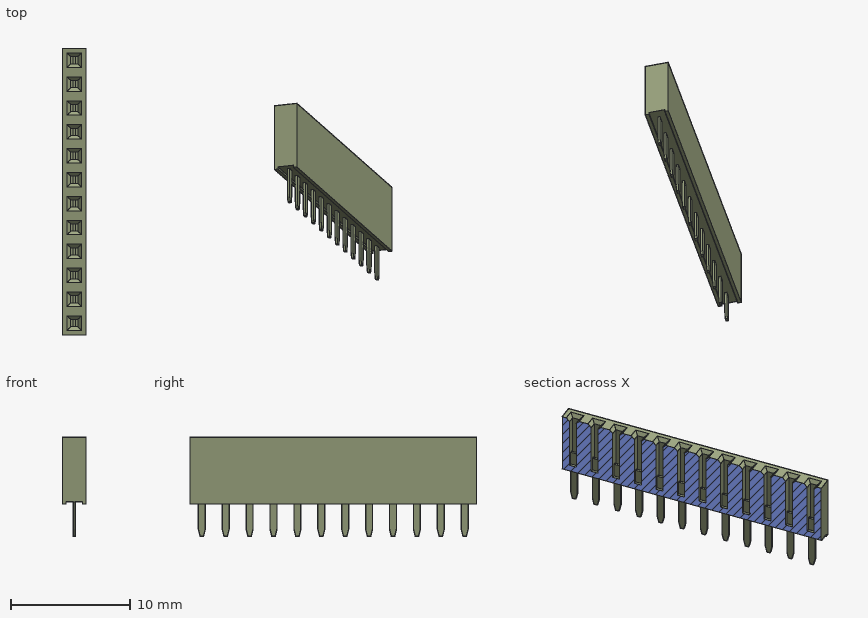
import cadquery as cq

pin_count = 12
body_length = 24.0
body_width = 2.0
body_height = 5.62
total_height = 8.3
pitch = body_length / pin_count

foot_width = 0.3
channel_depth = 0.2

funnel_mouth = 1.2
funnel_throat = 0.6
funnel_depth = (funnel_mouth - funnel_throat) / 2
socket_depth = 4.8

pin_thickness = 0.2
pin_width = funnel_throat
pin_tip_width = pin_width / 2
pin_taper_length = 0.6
pin_rise_in_socket = 1.2

body_bottom = total_height - body_height
funnel_bottom = total_height - funnel_depth
socket_floor = total_height - socket_depth
pin_top = socket_floor + pin_rise_in_socket

first_pin_y = -(body_length - pitch) / 2


def make_body():
    """Rectangular housing with a channel running along its underside."""
    housing = (
        cq.Workplane("XY")
        .workplane(offset=body_bottom)
        .rect(body_width, body_length)
        .extrude(body_height)
    )
    channel = (
        cq.Workplane("XY")
        .workplane(offset=body_bottom)
        .rect(body_width - 2 * foot_width, body_length)
        .extrude(channel_depth)
    )
    return housing.cut(channel)


def make_socket():
    """Volume removed for one socket: funnel plus straight hole."""
    funnel = (
        cq.Workplane("XY")
        .workplane(offset=funnel_bottom)
        .rect(funnel_throat, funnel_throat)
        .workplane(offset=funnel_depth)
        .rect(funnel_mouth, funnel_mouth)
        .loft(ruled=True)
    )
    hole = (
        cq.Workplane("XY")
        .workplane(offset=socket_floor)
        .rect(funnel_throat, funnel_throat)
        .extrude(socket_depth - funnel_depth)
    )
    return funnel.union(hole)


def make_pin():
    """Flat pin with a tapered tip, standing in the YZ plane."""
    return (
        cq.Workplane("YZ")
        .moveTo(-pin_tip_width / 2, 0)
        .lineTo(pin_tip_width / 2, 0)
        .lineTo(pin_width / 2, pin_taper_length)
        .lineTo(pin_width / 2, pin_top)
        .lineTo(-pin_width / 2, pin_top)
        .lineTo(-pin_width / 2, pin_taper_length)
        .close()
        .extrude(pin_thickness / 2, both=True)
    )


socket = make_socket()
pin = make_pin()

result = make_body()
for i in range(pin_count):
    position = (0, first_pin_y + i * pitch, 0)
    result = result.cut(socket.translate(position))
    result = result.union(pin.translate(position))